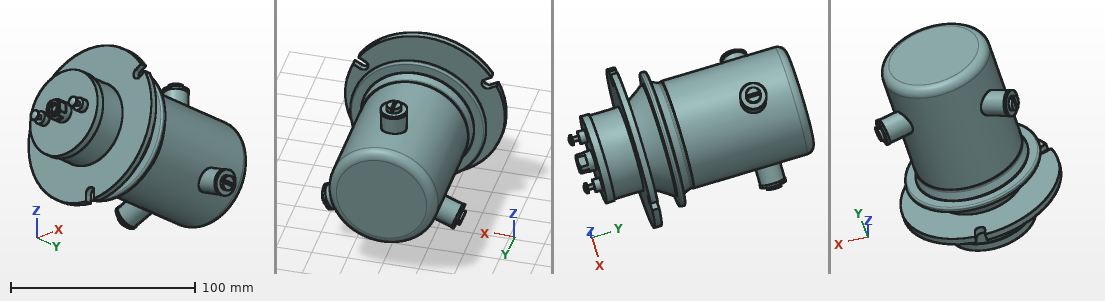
import cadquery as cq
import math

TOTAL_LENGTH = 126.7

HOUSING_RADIUS = 30.4
HOUSING_LENGTH = 69.5
HOUSING_EDGE_ROUND = 5.1
HOUSING_LIP_CHAMFER = 0.3
COLLAR_RADIUS = 30.0
COLLAR_END = 70.7
SHOULDER_START = 71.5
SHOULDER_START_RADIUS = 30.1

SHOULDER_RADIUS = 31.8
SHOULDER_END = 75.8
RIM_RADIUS = 38.0
RIM_START = 76.3
RIM_THICKNESS = 3.2
RIM_EDGE_ROUND = 1.0
HORN_START = 80.2
HORN_MID_RADIUS = 27.6

PLATE_RADIUS = 44.8
PLATE_START = 92.0
PLATE_THICKNESS = 3.9
PLATE_SLOT_WIDTH = 5.8
PLATE_SLOT_BOTTOM_RADIUS = 37.2
PLATE_SLOT_ANGLES = (30, 150, 270)

HORN_END_RADIUS = 24.2
NECK_RADIUS = 23.8
NECK_MID_RADIUS = 23.7
RING_RADIUS = 24.6
RING_START = 112.5
RING_END = 117.0

TERMINAL_OFFSET = 13.9
TERMINAL_BASE_RADIUS = 3.5
TERMINAL_BASE_END = 121.0
TERMINAL_PIN_RADIUS = 1.3
TERMINAL_HEAD_RADIUS = 2.8
TERMINAL_HEAD_START = 124.7
TERMINAL_DOME_START = 125.5

CONNECTOR_RADIUS = 5.6
CONNECTOR_FLAT_START = 121.0
CONNECTOR_END = 125.9
CONNECTOR_ACROSS_FLATS = 9.6
CONNECTOR_FACE_RADIUS = 4.4
CONNECTOR_BEVEL_LENGTH = 0.8
SOCKET_RADIUS = 2.9
SOCKET_DEPTH = 2.3
SOCKET_PIN_RADIUS = 2.0
SOCKET_PIN_RECESS = 1.0

PORT_STATION = 26.3
SIDE_PORT_TURN = 112
SIDE_PORT_OFFSET = 7.3
PORT_RADIUS = 7.0
PORT_CAP_RADIUS = 7.2
PORT_CAP_THICKNESS = 1.5
TOP_CAP_END = 41.8
SIDE_CAP_END = 42.6
SCREW_RADIUS = 4.0
SCREW_END = 44.6
SCREW_SLOT_WIDTH = 1.3
SCREW_SLOT_DEPTH = 1.5


def cylinder_along_y(radius, start, end, x=0.0):
    """Cylinder parallel to the main axis between two stations."""
    return (
        cq.Workplane("XZ", origin=(x, -start, 0))
        .circle(radius)
        .extrude(end - start)
    )


def make_body():
    """Solid of revolution: housing, shoulder, rim, horn, neck and ring."""
    rim_end = RIM_START + RIM_THICKNESS
    plate_end = PLATE_START + PLATE_THICKNESS
    horn_mid = (HORN_START + PLATE_START) / 2
    neck_mid = (plate_end + RING_START) / 2
    edge_round = HOUSING_EDGE_ROUND
    flat_radius = HOUSING_RADIUS - edge_round
    bend = edge_round * math.sqrt(0.5)
    profile = (
        cq.Workplane("XY")
        .lineTo(flat_radius, 0)
        .threePointArc((flat_radius + bend, bend - edge_round), (HOUSING_RADIUS, -edge_round))
        .lineTo(HOUSING_RADIUS, -HOUSING_LENGTH + HOUSING_LIP_CHAMFER)
        .lineTo(HOUSING_RADIUS - HOUSING_LIP_CHAMFER, -HOUSING_LENGTH)
        .lineTo(COLLAR_RADIUS, -HOUSING_LENGTH)
        .lineTo(COLLAR_RADIUS, -COLLAR_END)
        .tangentArcPoint((SHOULDER_START_RADIUS, -SHOULDER_START), relative=False)
        .lineTo(SHOULDER_RADIUS, -SHOULDER_END)
        .lineTo(SHOULDER_RADIUS, -HORN_START)
        .threePointArc((HORN_MID_RADIUS, -horn_mid), (HORN_END_RADIUS, -PLATE_START))
        .lineTo(NECK_RADIUS, -plate_end)
        .threePointArc((NECK_MID_RADIUS, -neck_mid), (NECK_RADIUS, -RING_START))
        .lineTo(RING_RADIUS, -RING_START)
        .lineTo(RING_RADIUS, -RING_END)
        .lineTo(0, -RING_END)
        .close()
    )
    body = profile.revolve(360, (0, 0, 0), (0, 1, 0))
    rim = cylinder_along_y(RIM_RADIUS, RIM_START, rim_end).edges().fillet(RIM_EDGE_ROUND)
    return body.union(rim)


def make_plate():
    """Round mounting plate with three open round-ended slots."""
    plate_end = PLATE_START + PLATE_THICKNESS
    plate = cylinder_along_y(PLATE_RADIUS, PLATE_START, plate_end)
    slot_length = 2 * (PLATE_RADIUS - PLATE_SLOT_BOTTOM_RADIUS)
    slot = (
        cq.Workplane("XZ", origin=(0, -PLATE_START, 0))
        .center(PLATE_SLOT_BOTTOM_RADIUS + slot_length / 2, 0)
        .slot2D(slot_length, PLATE_SLOT_WIDTH)
        .extrude(PLATE_THICKNESS)
    )
    for angle in PLATE_SLOT_ANGLES:
        plate = plate.cut(slot.rotate((0, 0, 0), (0, -1, 0), angle))
    return plate


def make_terminal(x):
    """Insulating base carrying a thin pin with a domed head."""
    base = cylinder_along_y(TERMINAL_BASE_RADIUS, RING_END, TERMINAL_BASE_END, x)
    pin = cylinder_along_y(TERMINAL_PIN_RADIUS, TERMINAL_BASE_END, TERMINAL_HEAD_START, x)
    dome_height = TOTAL_LENGTH - TERMINAL_DOME_START
    sphere_radius = (TERMINAL_HEAD_RADIUS**2 + dome_height**2) / (2 * dome_height)
    sphere_station = TOTAL_LENGTH - sphere_radius
    sphere = cq.Workplane("XY", origin=(x, -sphere_station, 0)).sphere(sphere_radius)
    head = cylinder_along_y(TERMINAL_HEAD_RADIUS, TERMINAL_HEAD_START, TOTAL_LENGTH, x)
    return base.union(pin).union(head.intersect(sphere))


def make_connector():
    """Round stub milled to four flats, bevelled at the end, with a pin in its socket."""
    stub = (
        cylinder_along_y(CONNECTOR_RADIUS, RING_END, CONNECTOR_END)
        .faces("<Y")
        .chamfer(CONNECTOR_BEVEL_LENGTH, CONNECTOR_RADIUS - CONNECTOR_FACE_RADIUS)
    )
    flat_length = CONNECTOR_END - CONNECTOR_FLAT_START
    waste = (
        cq.Workplane("XZ", origin=(0, -CONNECTOR_FLAT_START, 0))
        .circle(2 * CONNECTOR_RADIUS)
        .rect(CONNECTOR_ACROSS_FLATS, CONNECTOR_ACROSS_FLATS)
        .extrude(flat_length)
    )
    socket = cylinder_along_y(SOCKET_RADIUS, CONNECTOR_END - SOCKET_DEPTH, CONNECTOR_END)
    pin_end = CONNECTOR_END - SOCKET_PIN_RECESS
    pin = cylinder_along_y(SOCKET_PIN_RADIUS, CONNECTOR_END - SOCKET_DEPTH, pin_end)
    return stub.cut(waste).cut(socket).union(pin)


def make_port(cap_end):
    """Radial port pointing to +Z, closed by a cap and a slotted screw."""
    base = cq.Workplane("XY", origin=(0, -PORT_STATION, 0))
    tube_end = cap_end - PORT_CAP_THICKNESS
    tube = base.circle(PORT_RADIUS).extrude(tube_end)
    cap = base.workplane(tube_end).circle(PORT_CAP_RADIUS).extrude(PORT_CAP_THICKNESS)
    screw = base.workplane(cap_end).circle(SCREW_RADIUS).extrude(SCREW_END - cap_end)
    slot = (
        base.workplane(SCREW_END - SCREW_SLOT_DEPTH)
        .rect(SCREW_SLOT_WIDTH, 2 * SCREW_RADIUS)
        .extrude(SCREW_SLOT_DEPTH)
    )
    return tube.union(cap).union(screw.cut(slot))


result = make_body().union(make_plate()).union(make_connector())

for side in (-1, 1):
    result = result.union(make_terminal(side * TERMINAL_OFFSET))

result = result.union(make_port(TOP_CAP_END))

for side in (-1, 1):
    side_port = make_port(SIDE_CAP_END).translate((side * SIDE_PORT_OFFSET, 0, 0))
    result = result.union(side_port.rotate((0, 0, 0), (0, 1, 0), side * SIDE_PORT_TURN))